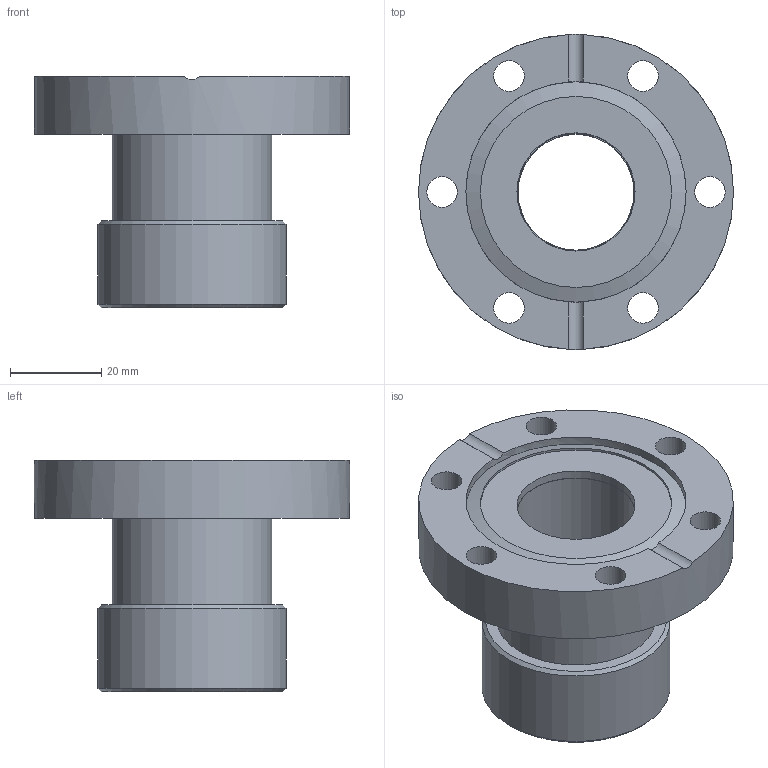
import cadquery as cq

total_height = 50.8
flange_diameter = 69.09
flange_thickness = 12.7
tube_diameter = 34.92
collar_diameter = 41.27
collar_height = 19.05
collar_chamfer = 0.77

bore_diameter = 25.78
bore_mouth_diameter = 25.91
bore_mouth_depth = 3.05
throat_diameter = 25.4

recess_diameter = 48.31
recess_depth = 1.83
knife_edge_diameter = 41.91
knife_edge_depth = 0.66
inner_face_depth = 1.17

bolt_hole_count = 6
bolt_hole_diameter = 6.73
bolt_circle_diameter = 58.72

groove_width = 3.12
groove_depth = 0.79

flange_bottom = total_height - flange_thickness
flange_radius = flange_diameter / 2
groove_radius = (groove_width**2 / 4 + groove_depth**2) / (2 * groove_depth)


def make_body():
    """Revolve the outer profile, the sealing face and the stepped bore."""
    tube_radius = tube_diameter / 2
    collar_radius = collar_diameter / 2
    throat_radius = throat_diameter / 2
    bore_radius = bore_diameter / 2
    mouth_radius = bore_mouth_diameter / 2
    knife_radius = knife_edge_diameter / 2
    recess_radius = recess_diameter / 2

    inner_face = total_height - inner_face_depth
    mouth_floor = total_height - bore_mouth_depth

    profile = [
        (throat_radius, 0),
        (collar_radius - collar_chamfer, 0),
        (collar_radius, collar_chamfer),
        (collar_radius, collar_height - collar_chamfer),
        (collar_radius - collar_chamfer, collar_height),
        (tube_radius, collar_height),
        (tube_radius, flange_bottom),
        (flange_radius, flange_bottom),
        (flange_radius, total_height),
        (recess_radius, total_height),
        (recess_radius, total_height - recess_depth),
        (knife_radius, total_height - knife_edge_depth),
        (knife_radius, inner_face),
        (mouth_radius, inner_face),
        (mouth_radius, mouth_floor),
        (bore_radius, mouth_floor),
        (bore_radius, collar_height),
        (throat_radius, collar_height),
    ]
    return cq.Workplane("XZ").polyline(profile).close().revolve(360, (0, 0, 0), (0, 1, 0))


def make_bolt_holes():
    """Cylinders through the flange, the first one on +X."""
    return (
        cq.Workplane("XY")
        .workplane(offset=flange_bottom)
        .polarArray(bolt_circle_diameter / 2, 0, 360, bolt_hole_count)
        .circle(bolt_hole_diameter / 2)
        .extrude(flange_thickness)
    )


def make_grooves():
    """Cut the flange rim at -Y and +Y, running out into the recess short of the knife edge."""
    groove_axis_height = total_height - groove_depth + groove_radius
    inner_end = (knife_edge_diameter / 2 + recess_diameter / 2) / 2
    groove = (
        cq.Workplane("XZ", origin=(0, -inner_end, groove_axis_height))
        .circle(groove_radius)
        .extrude(flange_radius - inner_end)
    )
    return groove.union(groove.mirror("XZ"))


result = make_body().cut(make_bolt_holes()).cut(make_grooves())